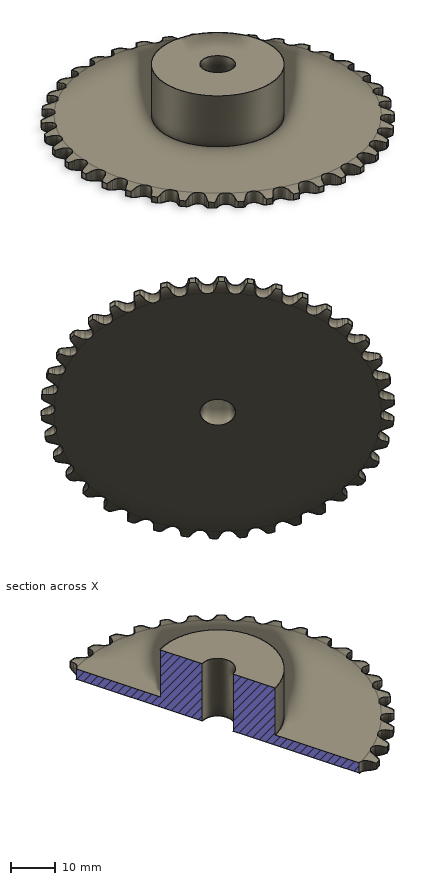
import cadquery as cq
import math

outer_diameter = 79.7
total_height = 16.0
plate_thickness = 2.95
hub_diameter = 30.0
bore_diameter = 8.0

tooth_count = 38
pitch_diameter = 76.9
seat_diameter = 3.4
working_radius = 4.3
straight_length = 0.47
topping_radius = 2.6

root_heading = 90.0
seat_end_heading = 35 + 60 / tooth_count
straight_heading = seat_end_heading - (18 - 56 / tooth_count)
mouth_heading = 60.0

relief_inner_diameter = 73.8
relief_radius = 6.4

outer_radius = outer_diameter / 2
relief_inner_radius = relief_inner_diameter / 2
gap_pitch_angle = 360 / tooth_count


def relief_drop(radius):
    """Depth of the relief below the plate face, tangent to the face at its inner edge."""
    return relief_radius - math.sqrt(relief_radius**2 - (radius - relief_inner_radius) ** 2)


def make_relieved_blank():
    """Revolve the plate with a rim that thins towards the tooth tips."""
    middle_radius = (relief_inner_radius + outer_radius) / 2
    middle_drop = relief_drop(middle_radius)
    tip_drop = relief_drop(outer_radius)
    return (
        cq.Workplane("XZ")
        .lineTo(relief_inner_radius, 0)
        .threePointArc((middle_radius, middle_drop), (outer_radius, tip_drop))
        .lineTo(outer_radius, plate_thickness - tip_drop)
        .threePointArc((middle_radius, plate_thickness - middle_drop), (relief_inner_radius, plate_thickness))
        .lineTo(0, plate_thickness)
        .close()
        .revolve(360, (0, 0, 0), (0, 1, 0))
    )


def point_on_arc(start, start_heading, heading, radius):
    """Point reached from start along a circular arc when its heading has turned to the given one."""
    turn = math.copysign(radius, heading - start_heading)
    before = math.radians(start_heading)
    after = math.radians(heading)
    return (
        start[0] + turn * (math.sin(after) - math.sin(before)),
        start[1] - turn * (math.cos(after) - math.cos(before)),
    )


def add_arc(outline, start, start_heading, end_heading, radius):
    """Append an arc to the outline and give back its end point."""
    middle_heading = (start_heading + end_heading) / 2
    middle = point_on_arc(start, start_heading, middle_heading, radius)
    end = point_on_arc(start, start_heading, end_heading, radius)
    return outline.threePointArc(middle, end), end


def make_tooth_gap():
    """Cutter on the +X axis: half a gap, from its root out to its mouth, and the mirror image."""
    root = ((pitch_diameter - seat_diameter) / 2, 0)
    half = cq.Workplane("XY").moveTo(*root)
    half, seat_end = add_arc(half, root, root_heading, seat_end_heading, seat_diameter / 2)
    half, working_end = add_arc(half, seat_end, seat_end_heading, straight_heading, working_radius)
    slope = math.radians(straight_heading)
    straight_end = (
        working_end[0] + straight_length * math.cos(slope),
        working_end[1] + straight_length * math.sin(slope),
    )
    half = half.lineTo(*straight_end)
    half, mouth = add_arc(half, straight_end, straight_heading, mouth_heading, topping_radius)
    half = half.lineTo(mouth[0], 0).close().extrude(plate_thickness)
    return half.union(half.mirror("XZ"))


def cut_teeth(blank):
    """Cut the gaps so that one tooth is centred on the +X axis."""
    gap = make_tooth_gap()
    gaps = cq.Workplane("XY")
    for index in range(tooth_count):
        angle = (index + 0.5) * gap_pitch_angle
        gaps = gaps.add(gap.rotate((0, 0, 0), (0, 0, 1), angle))
    return blank.cut(cq.Workplane(cq.Compound.makeCompound(gaps.vals())))


toothed_plate = cut_teeth(make_relieved_blank())
hub = cq.Workplane("XY").circle(hub_diameter / 2).extrude(total_height)
bore = cq.Workplane("XY").circle(bore_diameter / 2).extrude(total_height)

result = toothed_plate.union(hub).cut(bore)